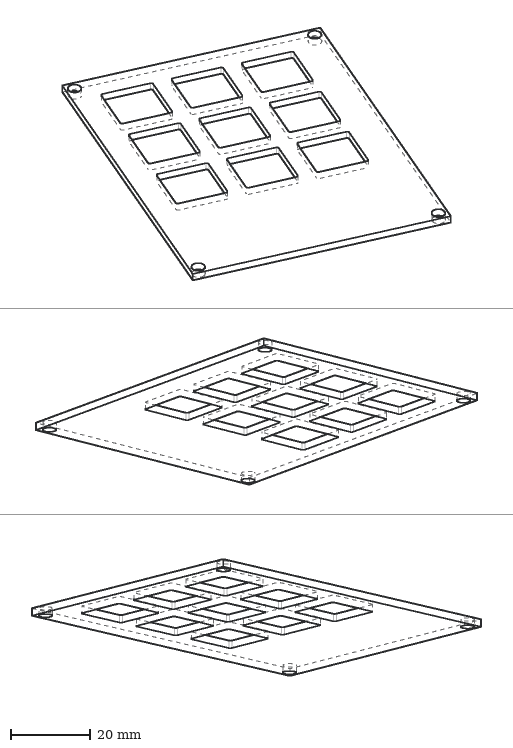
import cadquery as cq

length = 90.0
width = 70.0
thickness = 2.0

hole_diameter = 3.4
hole_inset = 2.4

windows_per_side = 3
window_size = 14.0
window_pitch = 19.1
window_corner_radius = 0.5
first_window_x = 14.3
first_window_y = 14.6


def make_plate():
    return cq.Workplane("XY").box(length, width, thickness, centered=False)


def make_screw_holes():
    centers = [
        (x, y)
        for x in (hole_inset, length - hole_inset)
        for y in (hole_inset, width - hole_inset)
    ]
    return cq.Workplane("XY").pushPoints(centers).circle(hole_diameter / 2).extrude(thickness)


def make_windows():
    centers = [
        (first_window_x + column * window_pitch, first_window_y + row * window_pitch)
        for column in range(windows_per_side)
        for row in range(windows_per_side)
    ]
    blocks = cq.Workplane("XY").pushPoints(centers).rect(window_size, window_size).extrude(thickness)
    return blocks.edges("|Z").fillet(window_corner_radius)


result = make_plate().cut(make_screw_holes()).cut(make_windows())